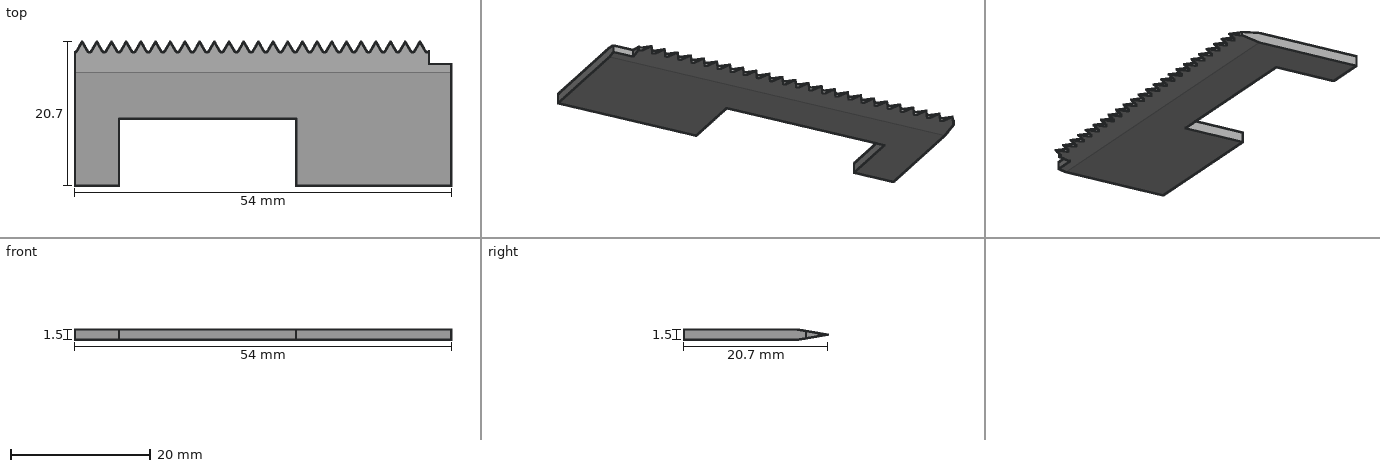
import math

import cadquery as cq

length = 54.0
width = 20.7
thickness = 1.5

bevel_start = 16.25

tooth_count = 24
tooth_pitch = 2.1
flank_angle = math.radians(30)
gullet_radius = 0.3

toothed_length = 50.8
step_height = 17.5

notch_start = 6.35
notch_length = 25.35
notch_depth = 9.6


def blade_blank():
    """Full-length bar whose cross-section tapers to a sharp edge."""
    half = thickness / 2
    section = [(0, -half), (bevel_start, -half), (width, 0), (bevel_start, half), (0, half)]
    return cq.Workplane("YZ").polyline(section).close().extrude(length)


def through_box(x_min, x_max, y_min, y_max):
    """Block through the full thickness, for cutting the plan outline."""
    box = cq.Workplane("XY").box(x_max - x_min, y_max - y_min, thickness, centered=(False, False, True))
    return box.translate((x_min, y_min, 0))


def gullet(center_x):
    """V-shaped gap between two tooth tips, rounded at its root."""
    half_pitch = tooth_pitch / 2
    sharp_root = width - half_pitch / math.tan(flank_angle)
    arc_center = sharp_root + gullet_radius / math.sin(flank_angle)
    tangent_x = gullet_radius * math.cos(flank_angle)
    tangent_y = arc_center - gullet_radius * math.sin(flank_angle)
    return (
        cq.Workplane("XY")
        .moveTo(center_x - half_pitch, width)
        .lineTo(center_x - tangent_x, tangent_y)
        .threePointArc((center_x, arc_center - gullet_radius), (center_x + tangent_x, tangent_y))
        .lineTo(center_x + half_pitch, width)
        .close()
        .extrude(thickness / 2, both=True)
    )


result = blade_blank()
result = result.cut(through_box(notch_start, notch_start + notch_length, 0, notch_depth))
result = result.cut(through_box(toothed_length, length, step_height, width))
for index in range(tooth_count + 1):
    result = result.cut(gullet(index * tooth_pitch))